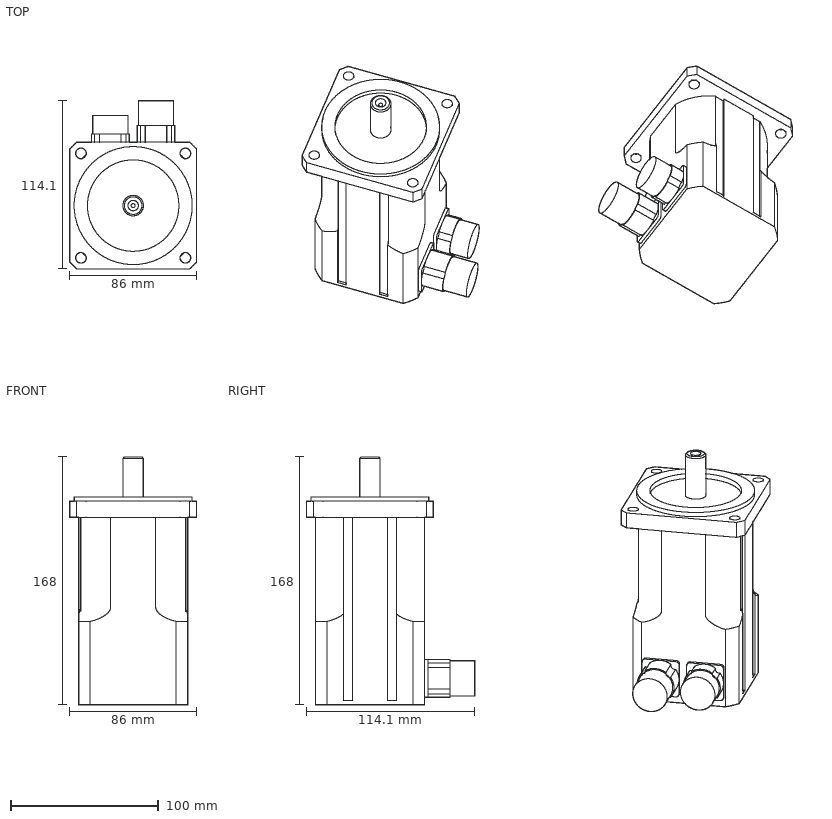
import cadquery as cq
import math

TOTAL_HEIGHT = 168.0
BODY_WIDTH = 74.0
BODY_HEIGHT = 127.0
LOWER_CORNER_RADIUS = 47.0
UPPER_CORNER_RADIUS = 40.0
SHOULDER_FILLET = 10.0
SHOULDER_TOP = 66.2

GROOVE_INNER_EDGE = 12.0
GROOVE_OUTER_EDGE = 18.0
GROOVE_DEPTH = 1.5
GROOVE_BOTTOM = 3.0

FLANGE_WIDTH = 86.0
FLANGE_THICKNESS = 11.0
FLANGE_CHAMFER = 4.7
BOLT_CIRCLE_DIAMETER = 100.0
BOLT_HOLE_DIAMETER = 7.0
PILOT_DIAMETER = 80.0
PILOT_HEIGHT = 3.0
RECESS_DIAMETER = 62.0
RECESS_DEPTH = 3.5

SHAFT_DIAMETER = 14.0
SHAFT_CHAMFER = 1.0
CENTRE_HOLE_DIAMETER = 2.7
CENTRE_HOLE_DEPTH = 8.4
COUNTERSINK_DIAMETER = 7.0
COUNTERSINK_ANGLE = 90.0

CONNECTOR_OFFSET = 15.5
CONNECTOR_HEIGHT = 18.0
PLATE_WIDTH = 25.7
PLATE_THICKNESS = 2.2
PLATE_CORNER_RADIUS = 2.4
COLLAR_DIAMETER = PLATE_WIDTH
BARREL_DIAMETER = 24.0
NOTCH_OFFSET = 9.9
NOTCH_DIAMETER = 5.4
SHORT_COLLAR_LENGTH = 9.4
SHORT_BARREL_LENGTH = 12.6
LONG_COLLAR_LENGTH = 15.1
LONG_BARREL_LENGTH = 16.8

FLANGE_TOP = BODY_HEIGHT + FLANGE_THICKNESS
PILOT_TOP = FLANGE_TOP + PILOT_HEIGHT
RECESS_FLOOR = PILOT_TOP - RECESS_DEPTH
BACK_FACE = BODY_WIDTH / 2


def disc(diameter, bottom, top):
    """Cylinder about the motor axis between two heights."""
    return cq.Workplane("XY").workplane(offset=bottom).circle(diameter / 2).extrude(top - bottom)


def make_corner_envelope():
    """Turned shape about the motor axis that rounds the four corners of the square body."""
    fillet_centre = UPPER_CORNER_RADIUS + SHOULDER_FILLET

    def fillet_height(radius):
        return SHOULDER_TOP - math.sqrt(SHOULDER_FILLET**2 - (fillet_centre - radius) ** 2)

    middle_radius = (UPPER_CORNER_RADIUS + LOWER_CORNER_RADIUS) / 2
    return (
        cq.Workplane("XZ")
        .moveTo(0, 0)
        .lineTo(LOWER_CORNER_RADIUS, 0)
        .lineTo(LOWER_CORNER_RADIUS, fillet_height(LOWER_CORNER_RADIUS))
        .threePointArc((middle_radius, fillet_height(middle_radius)), (UPPER_CORNER_RADIUS, SHOULDER_TOP))
        .lineTo(UPPER_CORNER_RADIUS, BODY_HEIGHT)
        .lineTo(0, BODY_HEIGHT)
        .close()
        .revolve(360, (0, 0, 0), (0, 1, 0))
    )


def make_grooves():
    """Cutters for two long grooves in each of the -X and +X sides, open towards the flange."""
    groove_middle = (GROOVE_INNER_EDGE + GROOVE_OUTER_EDGE) / 2
    centres = [(x, y) for x in (-BODY_WIDTH / 2, BODY_WIDTH / 2) for y in (-groove_middle, groove_middle)]
    return (
        cq.Workplane("XY")
        .workplane(offset=GROOVE_BOTTOM)
        .pushPoints(centres)
        .rect(2 * GROOVE_DEPTH, GROOVE_OUTER_EDGE - GROOVE_INNER_EDGE)
        .extrude(BODY_HEIGHT - GROOVE_BOTTOM)
    )


def make_body():
    block = cq.Workplane("XY").rect(BODY_WIDTH, BODY_WIDTH).extrude(BODY_HEIGHT)
    return block.intersect(make_corner_envelope()).cut(make_grooves())


def make_flange():
    """Square flange with bolt holes and a raised round pilot, recessed in the middle."""
    bolt_spacing = BOLT_CIRCLE_DIAMETER / math.sqrt(2)
    plate = (
        cq.Workplane("XY")
        .workplane(offset=BODY_HEIGHT)
        .rect(FLANGE_WIDTH, FLANGE_WIDTH)
        .extrude(FLANGE_THICKNESS)
        .edges("|Z")
        .chamfer(FLANGE_CHAMFER)
        .faces(">Z")
        .workplane()
        .rect(bolt_spacing, bolt_spacing, forConstruction=True)
        .vertices()
        .hole(BOLT_HOLE_DIAMETER)
    )
    pilot = disc(PILOT_DIAMETER, FLANGE_TOP, PILOT_TOP)
    recess = disc(RECESS_DIAMETER, RECESS_FLOOR, PILOT_TOP)
    return plate.union(pilot).cut(recess)


def make_shaft():
    return (
        disc(SHAFT_DIAMETER, RECESS_FLOOR, TOTAL_HEIGHT)
        .faces(">Z")
        .chamfer(SHAFT_CHAMFER)
        .faces(">Z")
        .workplane()
        .cskHole(CENTRE_HOLE_DIAMETER, COUNTERSINK_DIAMETER, COUNTERSINK_ANGLE, CENTRE_HOLE_DEPTH)
    )


def make_housing():
    """Motor body, flange and shaft as one solid."""
    return make_body().union(make_flange()).union(make_shaft())


def make_connector(x, collar_length, barrel_length):
    """Connector along +Y: corner-rounded plate, notched collar and plain barrel."""

    def section_plane(y):
        return cq.Workplane("XZ", origin=(x, y, CONNECTOR_HEIGHT))

    plate_end = BACK_FACE + PLATE_THICKNESS
    collar_end = plate_end + collar_length
    plate = (
        section_plane(BACK_FACE)
        .rect(PLATE_WIDTH, PLATE_WIDTH)
        .extrude(-PLATE_THICKNESS)
        .edges("|Y")
        .fillet(PLATE_CORNER_RADIUS)
    )
    notches = (
        section_plane(plate_end)
        .rect(2 * NOTCH_OFFSET, 2 * NOTCH_OFFSET, forConstruction=True)
        .vertices()
        .circle(NOTCH_DIAMETER / 2)
        .extrude(-collar_length)
    )
    collar = section_plane(plate_end).circle(COLLAR_DIAMETER / 2).extrude(-collar_length).cut(notches)
    barrel = section_plane(collar_end).circle(BARREL_DIAMETER / 2).extrude(-barrel_length)
    return plate.union(collar).union(barrel)


housing = make_housing()

CONNECTOR_LAYOUT = [
    (-CONNECTOR_OFFSET, SHORT_COLLAR_LENGTH, SHORT_BARREL_LENGTH),
    (CONNECTOR_OFFSET, LONG_COLLAR_LENGTH, LONG_BARREL_LENGTH),
]
connectors = [make_connector(*layout).val() for layout in CONNECTOR_LAYOUT]

result = cq.Compound.makeCompound([housing.val(), *connectors])